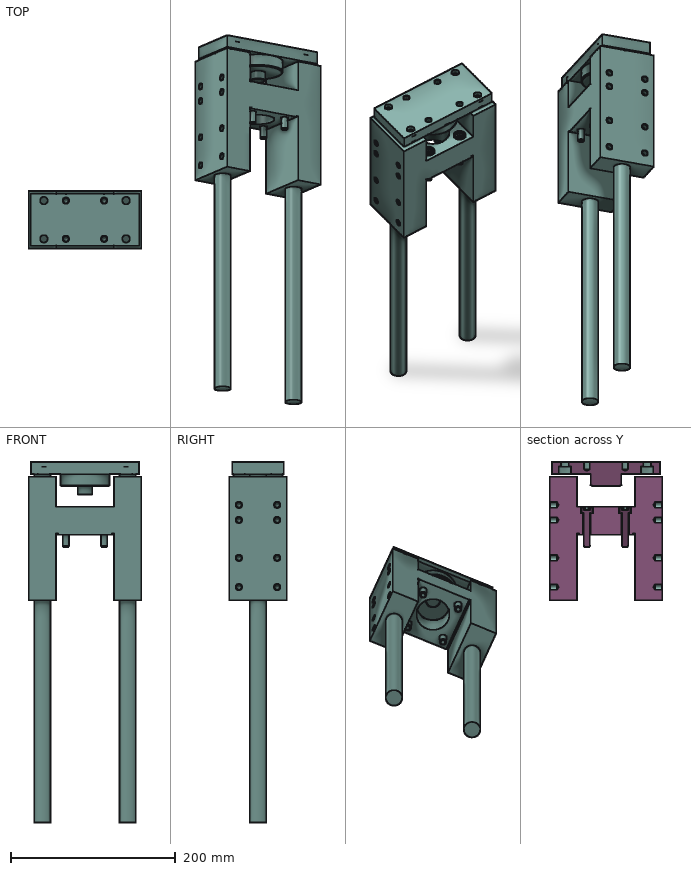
import cadquery as cq
import math

TOTAL_HEIGHT = 438.0

HOUSING_WIDTH = 137.0
HOUSING_DEPTH = 70.0
HOUSING_HEIGHT = 150.2
LEG_GAP = 70.0
BRIDGE_DROP = 36.5
BRIDGE_THICKNESS = 34.0
BRIDGE_BORE_DIAMETER = 40.0
RELIEF_WIDTH = 2.0
RELIEF_DEPTH = 1.5

PLATE_LENGTH = 131.5
PLATE_DEPTH = 62.5
PLATE_THICKNESS = 15.0
PLATE_CLEARANCE = 3.0
ROD_DIAMETER = 20.0
ROD_OFFSET = 51.5
FLANGE_DIAMETER = 60.0
FLANGE_HEIGHT = 14.5
FLANGE_CHAMFER = 1.5
STUD_DIAMETER = 18.0
STUD_HEIGHT = 10.5
STUD_CHAMFER = 1.0

BOLT_OFFSET = 23.0
PLATE_HOLE_DIAMETER = 9.0
PLATE_COUNTERBORE_DIAMETER = 14.5
PLATE_COUNTERBORE_DEPTH = 9.0
PLATE_HOLE_OFFSET = 50.0
TAPPED_DIAMETER = 6.5
TAPPED_MOUTH_DIAMETER = 8.0
TAPPED_DEPTH = 8.8
DRILL_POINT_ANGLE = 118.0
SIDE_HOLE_DROPS = (34.0, 52.5, 98.5, 134.0)

SCREW_DIAMETER = 8.0
SCREW_PROTRUSION = 15.0
SCREW_CHAMFER = 1.5
HEAD_DIAMETER = 13.0
HEAD_HEIGHT = 8.0
HEAD_CHAMFER = 1.5
SOCKET_ACROSS_FLATS = 6.0
SOCKET_DEPTH = 4.0
SCREW_HOLE_DIAMETER = 9.0
SCREW_COUNTERBORE_DIAMETER = 15.0
SCREW_COUNTERBORE_DEPTH = HEAD_HEIGHT

PLATE_BOTTOM = TOTAL_HEIGHT - PLATE_THICKNESS
HOUSING_TOP = PLATE_BOTTOM - PLATE_CLEARANCE
HOUSING_BOTTOM = HOUSING_TOP - HOUSING_HEIGHT
BRIDGE_TOP = HOUSING_TOP - BRIDGE_DROP
BRIDGE_BOTTOM = BRIDGE_TOP - BRIDGE_THICKNESS
HEAD_SEAT = BRIDGE_TOP - SCREW_COUNTERBORE_DEPTH

SIDES = (-1, 1)
BOLT_POINTS = [(sx * BOLT_OFFSET, sy * BOLT_OFFSET) for sx in SIDES for sy in SIDES]
PLATE_HOLE_POINTS = [(sx * PLATE_HOLE_OFFSET, sy * BOLT_OFFSET) for sx in SIDES for sy in SIDES]
ROD_POINTS = [(sx * ROD_OFFSET, 0) for sx in SIDES]


def box(length, depth, height, bottom):
    """Box centred on the Z axis, standing on the level `bottom`."""
    return cq.Workplane("XY", origin=(0, 0, bottom)).box(length, depth, height, centered=(True, True, False))


def cylinders(points, diameter, bottom, top):
    """Vertical cylinders between two levels, one at each (x, y) point."""
    return cq.Workplane("XY", origin=(0, 0, bottom)).pushPoints(points).circle(diameter / 2).extrude(top - bottom)


def tapped_hole(mouth, direction):
    """Cutter for a blind drilled hole with a countersunk mouth, running from `mouth` along `direction`."""
    drill_radius = TAPPED_DIAMETER / 2
    mouth_radius = TAPPED_MOUTH_DIAMETER / 2
    tip_depth = TAPPED_DEPTH + drill_radius / math.tan(math.radians(DRILL_POINT_ANGLE / 2))
    profile = [
        (0, 0),
        (mouth_radius, 0),
        (drill_radius, mouth_radius - drill_radius),
        (drill_radius, TAPPED_DEPTH),
        (0, tip_depth),
    ]
    cutter = cq.Workplane("XY").polyline(profile).close().revolve(360, (0, 0, 0), (0, 1, 0)).val()
    hole_plane = cq.Plane(origin=mouth, xDir=(0, 1, 0), normal=cq.Vector(0, 1, 0).cross(cq.Vector(*direction)))
    return cutter.moved(cq.Location(hole_plane))


def make_housing():
    body = box(HOUSING_WIDTH, HOUSING_DEPTH, HOUSING_HEIGHT, HOUSING_BOTTOM)

    body = body.cut(box(LEG_GAP, HOUSING_DEPTH, BRIDGE_DROP, BRIDGE_TOP))
    body = body.cut(box(LEG_GAP, HOUSING_DEPTH, BRIDGE_BOTTOM - HOUSING_BOTTOM, HOUSING_BOTTOM))

    groove = box(RELIEF_WIDTH, HOUSING_DEPTH, RELIEF_DEPTH, BRIDGE_BOTTOM)
    for side in SIDES:
        body = body.cut(groove.translate((side * (LEG_GAP - RELIEF_WIDTH) / 2, 0, 0)))

    body = body.cut(cylinders([(0, 0)], BRIDGE_BORE_DIAMETER, BRIDGE_BOTTOM, BRIDGE_TOP))
    body = body.cut(cylinders(ROD_POINTS, ROD_DIAMETER, HOUSING_BOTTOM, HOUSING_TOP))
    body = body.cut(cylinders(BOLT_POINTS, SCREW_HOLE_DIAMETER, BRIDGE_BOTTOM, BRIDGE_TOP))
    body = body.cut(cylinders(BOLT_POINTS, SCREW_COUNTERBORE_DIAMETER, HEAD_SEAT, BRIDGE_TOP))

    for side in SIDES:
        for drop in SIDE_HOLE_DROPS:
            for y_side in SIDES:
                mouth = (side * HOUSING_WIDTH / 2, y_side * BOLT_OFFSET, HOUSING_TOP - drop)
                body = body.cut(cq.Workplane(tapped_hole(mouth, (-side, 0, 0))))
    return body


def make_slide():
    """Front plate in one piece with the guide rods and the coupling flange."""
    plate = box(PLATE_LENGTH, PLATE_DEPTH, PLATE_THICKNESS, PLATE_BOTTOM)
    plate = plate.cut(cylinders(PLATE_HOLE_POINTS, PLATE_HOLE_DIAMETER, PLATE_BOTTOM, TOTAL_HEIGHT))
    counterbore_top = PLATE_BOTTOM + PLATE_COUNTERBORE_DEPTH
    plate = plate.cut(cylinders(PLATE_HOLE_POINTS, PLATE_COUNTERBORE_DIAMETER, PLATE_BOTTOM, counterbore_top))
    for x, y in BOLT_POINTS:
        plate = plate.cut(cq.Workplane(tapped_hole((x, y, TOTAL_HEIGHT), (0, 0, -1))))

    rods = cylinders(ROD_POINTS, ROD_DIAMETER, 0, PLATE_BOTTOM)

    flange_bottom = PLATE_BOTTOM - FLANGE_HEIGHT
    flange = cylinders([(0, 0)], FLANGE_DIAMETER, flange_bottom, PLATE_BOTTOM)
    flange = flange.faces("<Z").chamfer(FLANGE_CHAMFER)
    stud = cylinders([(0, 0)], STUD_DIAMETER, flange_bottom - STUD_HEIGHT, flange_bottom)
    stud = stud.faces("<Z").chamfer(STUD_CHAMFER)
    return plate.union(rods).union(flange).union(stud)


def make_screw(x, y):
    """Socket head screw seated in the counterbore at (x, y)."""
    shank = cylinders([(x, y)], SCREW_DIAMETER, BRIDGE_BOTTOM - SCREW_PROTRUSION, HEAD_SEAT)
    shank = shank.faces("<Z").chamfer(SCREW_CHAMFER)
    head = cylinders([(x, y)], HEAD_DIAMETER, HEAD_SEAT, BRIDGE_TOP).faces(">Z").chamfer(HEAD_CHAMFER)
    socket_corner_diameter = SOCKET_ACROSS_FLATS / math.cos(math.pi / 6)
    socket = (
        cq.Workplane("XY", origin=(x, y, BRIDGE_TOP))
        .polygon(6, socket_corner_diameter)
        .extrude(-SOCKET_DEPTH)
    )
    return shank.union(head).cut(socket)


housing = make_housing()
slide = make_slide()
screws = [make_screw(x, y) for x, y in BOLT_POINTS]

result = cq.Compound.makeCompound([
    housing.solids().val(),
    slide.solids().val(),
    *[screw.solids().val() for screw in screws],
])